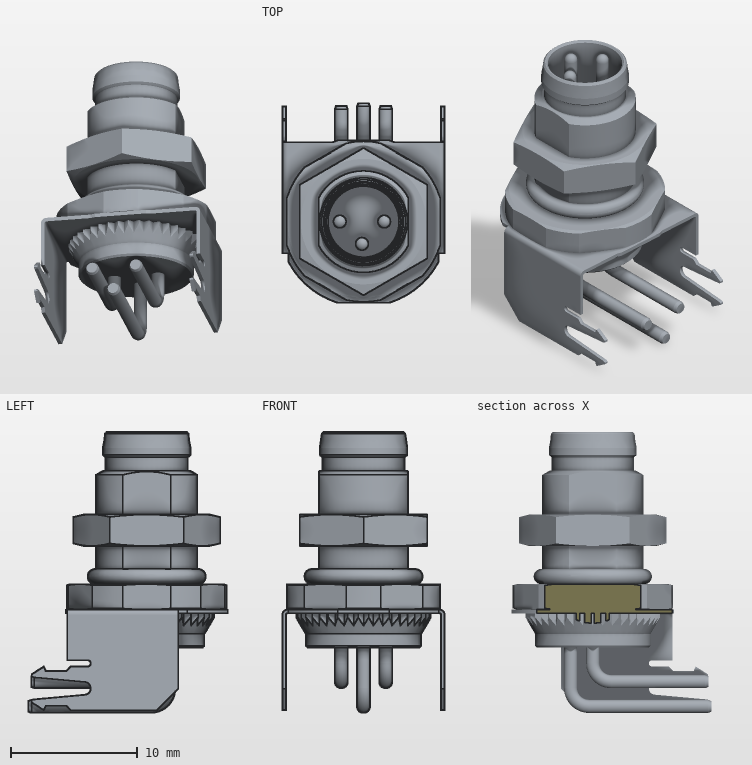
import cadquery as cq
import math


TOP_Z = 14.0
RIM_RADIUS = 3.15
RIM_TAPER_RADIUS = 3.3
COLLAR_RADIUS = 3.46
NECK_RADIUS = 3.25
THREAD_RADIUS = 4.0
RIM_CHAMFER_Z = TOP_Z - 0.15
COLLAR_TOP_Z = 12.75
COLLAR_BOTTOM_Z = 12.18
NECK_TOP_Z = 12.0
SHOULDER_TOP_Z = 10.95
SHOULDER_INNER_RADIUS = 3.4
SHOULDER_SLOPE = 30.0
BODY_FLAT_WIDTH = 7.05

BORE_RADIUS = 2.93
BORE_STEP_RADIUS = 2.8
BORE_STEP_Z = 8.0
BORE_FLOOR_Z = 7.0
BORE_LIP = 0.13

NUT_BOTTOM_Z = 5.0
NUT_HEIGHT = 2.5
NUT_ACROSS_FLATS = 10.05
NUT_CORNER_RADIUS = NUT_ACROSS_FLATS / math.sqrt(3)
NUT_FACE_RADIUS = 4.95
NUT_BEVEL_ANGLE = 14.0
FLANGE_HEIGHT = 2.0
FLANGE_ACROSS_FLATS = 12.06
FLANGE_RADIUS = 6.32
FLANGE_FACE_RADIUS = 6.0
FLANGE_BEVEL_ANGLE = 15.0

RING_SECTION_RADIUS = 0.6
RING_OUTER_RADIUS = 4.66

BASE_RADIUS = 4.55
BASE_BOTTOM_Z = -3.0
BASE_CHAMFER = 0.15
CONE_BOTTOM_Z = -1.92
CONE_HALF_ANGLE = 30.6
TOOTH_COUNT = 40
TOOTH_CREST_RADIUS = 5.32
TOOTH_VALLEY_RADIUS = 4.94

SHEET = 0.3
BRACKET_WIDTH = 12.8
BEND_RADIUS = 0.42
PLATE_RADIUS = 6.72
PLATE_HALF_DEPTH = 6.4
PLATE_TONGUE_WIDTH = 11.84
TAB_FRONT_Y = -2.5
TAB_BACK_Y = 6.27
TAB_BOTTOM_Z = -7.93
TAB_CORNER = 1.7
SLOT_TOP_Z = -4.0
SLOT_WIDTH = 0.49
SLOT_END_Y = 4.42

LEG_TIP_Y = 9.08
LEG_TIP_HALF_OUTER = 1.1
LEG_TIP_HALF_INNER = 0.95
LEG_NOSE_Y = 8.93
LEG_NOSE_HALF = 0.87
BARB_Y = 8.11
BARB_FOOT_Y = 7.96
LEG_NECK_DEPTH = 0.34
LEG_NECK_END_Y = 6.32
LEG_ROOT_Y = 6.0
GAP_ARC_Y = 4.85
GAP_ARC_HALF = 0.5

PIN_RADIUS = 0.52
PIN_PITCH = 3.5
PIN_CENTER_Y = -1.75
CONTACT_SHIFT_X = -0.12
CONTACT_RADIUS = 0.5
CONTACT_TOP_Z = 13.8
BEND_CENTERLINE_RADIUS = 1.45
OUTER_PIN_Z = -5.68
CENTER_PIN_Z = -7.63
OUTER_PIN_END_Y = 9.12
CENTER_PIN_END_Y = 9.35
PIN_TIP_LENGTH = 0.27
PIN_TIP_INSET = 0.1


def tan_deg(angle):
    return math.tan(math.radians(angle))


def revolve_outline(points):
    """Revolve an (r, z) outline about Z."""
    return cq.Workplane("XZ").polyline(points).close().revolve(360, (0, 0, 0), (0, 1, 0))


def cylinder(radius, bottom, top):
    return cq.Workplane("XY").workplane(offset=bottom).circle(radius).extrude(top - bottom)


def bevelled_hexagon(across_flats, bottom, height, face_radius, outer_radius, bevel_angle):
    """Hexagonal prism with flats facing +X and -X, bevelled at both ends."""
    corner_diameter = across_flats / math.cos(math.radians(30))
    top = bottom + height
    drop = (outer_radius - face_radius) * tan_deg(bevel_angle)
    prism = (
        cq.Workplane("XY")
        .workplane(offset=bottom)
        .transformed(rotate=(0, 0, 30))
        .polygon(6, corner_diameter)
        .extrude(height)
    )
    envelope = revolve_outline([
        (0, bottom),
        (face_radius, bottom),
        (outer_radius, bottom + drop),
        (outer_radius, top - drop),
        (face_radius, top),
        (0, top),
    ])
    return prism.intersect(envelope)


def make_threaded_body():
    """Cylinder with two flats and a sloping shoulder."""
    shoulder_drop = (THREAD_RADIUS - SHOULDER_INNER_RADIUS) * tan_deg(SHOULDER_SLOPE)
    body = revolve_outline([
        (0, 0),
        (THREAD_RADIUS, 0),
        (THREAD_RADIUS, SHOULDER_TOP_Z - shoulder_drop),
        (SHOULDER_INNER_RADIUS, SHOULDER_TOP_Z),
        (0, SHOULDER_TOP_Z),
    ])
    flats = cq.Workplane("XY").rect(BODY_FLAT_WIDTH, 2 * THREAD_RADIUS).extrude(TOP_Z)
    return body.intersect(flats)


def make_snap_collar():
    """Neck and tapered latching collar above the shoulder."""
    return revolve_outline([
        (0, BORE_FLOOR_Z),
        (NECK_RADIUS, BORE_FLOOR_Z),
        (NECK_RADIUS, NECK_TOP_Z),
        (COLLAR_RADIUS, COLLAR_BOTTOM_Z),
        (COLLAR_RADIUS, COLLAR_TOP_Z),
        (RIM_TAPER_RADIUS, RIM_CHAMFER_Z),
        (RIM_RADIUS, TOP_Z),
        (0, TOP_Z),
    ])


def make_bore():
    """Socket cavity with a chamfered mouth and a narrower step at the floor."""
    return revolve_outline([
        (0, BORE_FLOOR_Z),
        (BORE_STEP_RADIUS, BORE_FLOOR_Z),
        (BORE_STEP_RADIUS, BORE_STEP_Z),
        (BORE_RADIUS, BORE_STEP_Z),
        (BORE_RADIUS, TOP_Z - BORE_LIP),
        (BORE_RADIUS + BORE_LIP, TOP_Z),
        (0, TOP_Z),
    ])


def make_o_ring():
    center_radius = RING_OUTER_RADIUS - RING_SECTION_RADIUS
    return (
        cq.Workplane("XZ")
        .center(center_radius, FLANGE_HEIGHT + RING_SECTION_RADIUS)
        .circle(RING_SECTION_RADIUS)
        .revolve(360, (-center_radius, 0, 0), (-center_radius, 1, 0))
    )


def make_base():
    """Round base below the bracket, widening into the serrated cone."""
    base = cylinder(BASE_RADIUS, BASE_BOTTOM_Z, 0).faces("<Z").chamfer(BASE_CHAMFER)

    half_pitch = math.pi / TOOTH_COUNT
    outline = []
    for i in range(2 * TOOTH_COUNT):
        radius = TOOTH_CREST_RADIUS if i % 2 else TOOTH_VALLEY_RADIUS
        angle = -math.pi / 2 + i * half_pitch
        outline.append((radius * math.cos(angle), radius * math.sin(angle)))
    teeth = (
        cq.Workplane("XY")
        .workplane(offset=CONE_BOTTOM_Z)
        .polyline(outline)
        .close()
        .extrude(-CONE_BOTTOM_Z)
    )
    cone_top_radius = BASE_RADIUS - CONE_BOTTOM_Z * tan_deg(CONE_HALF_ANGLE)
    cone = revolve_outline([
        (0, CONE_BOTTOM_Z),
        (BASE_RADIUS, CONE_BOTTOM_Z),
        (cone_top_radius, 0),
        (0, 0),
    ])
    return base.union(teeth.intersect(cone))


def make_bracket_side_outline():
    """Side outline of the bracket in the YZ plane, with two snap-in legs."""
    slot_radius = SLOT_WIDTH / 2
    leg_top_z = SLOT_TOP_Z - SLOT_WIDTH
    middle_z = (leg_top_z + TAB_BOTTOM_Z) / 2
    half_height = leg_top_z - middle_z
    neck_half = half_height - LEG_NECK_DEPTH
    leg = [
        (LEG_ROOT_Y, half_height),
        (LEG_NECK_END_Y, neck_half),
        (BARB_FOOT_Y, neck_half),
        (BARB_Y, half_height),
        (LEG_TIP_Y, LEG_TIP_HALF_OUTER),
        (LEG_TIP_Y, LEG_TIP_HALF_INNER),
        (LEG_NOSE_Y, LEG_NOSE_HALF),
        (GAP_ARC_Y, GAP_ARC_HALF),
    ]
    outline = (
        cq.Workplane("YZ")
        .moveTo(TAB_FRONT_Y, 0)
        .lineTo(TAB_BACK_Y, 0)
        .lineTo(TAB_BACK_Y, SLOT_TOP_Z)
        .lineTo(SLOT_END_Y + slot_radius, SLOT_TOP_Z)
        .threePointArc(
            (SLOT_END_Y, SLOT_TOP_Z - slot_radius),
            (SLOT_END_Y + slot_radius, leg_top_z),
        )
    )
    for y, half in leg:
        outline = outline.lineTo(y, middle_z + half)
    outline = outline.threePointArc((SLOT_END_Y, middle_z), (GAP_ARC_Y, middle_z - GAP_ARC_HALF))
    for y, half in reversed(leg[:-1]):
        outline = outline.lineTo(y, middle_z - half)
    return (
        outline
        .lineTo(TAB_FRONT_Y + TAB_CORNER, TAB_BOTTOM_Z)
        .lineTo(TAB_FRONT_Y, TAB_BOTTOM_Z + TAB_CORNER)
        .close()
    )


def make_bracket():
    """Round plate with two side tabs bent down."""
    length = 4 * LEG_TIP_Y
    depth = -2 * TAB_BOTTOM_Z
    inner_width = BRACKET_WIDTH - 2 * SHEET
    outside = (
        cq.Workplane("XY")
        .box(BRACKET_WIDTH, length, depth)
        .edges("|Y and >Z")
        .fillet(BEND_RADIUS)
    )
    inside = (
        cq.Workplane("XY")
        .box(inner_width, length, depth)
        .edges("|Y and >Z")
        .fillet(BEND_RADIUS - SHEET)
        .translate((0, 0, -SHEET))
    )
    channel = outside.cut(inside).translate((0, 0, -depth / 2))
    side_block = make_bracket_side_outline().extrude(BRACKET_WIDTH / 2, both=True)

    tongue = cq.Workplane("XY").box(PLATE_TONGUE_WIDTH, 2 * PLATE_HALF_DEPTH, 2 * SHEET)
    plate = cylinder(PLATE_RADIUS, -SHEET, 0).intersect(tongue)
    return channel.intersect(side_block).union(plate)


def make_contact(x, y):
    """Straight contact with a domed end standing in the socket."""
    contact = cylinder(CONTACT_RADIUS, BORE_FLOOR_Z - CONTACT_RADIUS, CONTACT_TOP_Z - CONTACT_RADIUS)
    dome = cq.Workplane("XY").sphere(CONTACT_RADIUS).translate((0, 0, CONTACT_TOP_Z - CONTACT_RADIUS))
    return contact.union(dome).translate((x, y, 0))


def make_solder_pin(x, y, run_z, end_y):
    """Pin that leaves the base downward and bends toward +Y, ending in a taper."""
    bend_radius = BEND_CENTERLINE_RADIUS
    corner = bend_radius * (1 - math.sqrt(0.5))
    path = (
        cq.Workplane("YZ", origin=(x, 0, 0))
        .moveTo(y, BASE_BOTTOM_Z + PIN_RADIUS)
        .lineTo(y, run_z + bend_radius)
        .threePointArc((y + corner, run_z + corner), (y + bend_radius, run_z))
        .lineTo(end_y - PIN_TIP_LENGTH, run_z)
    )
    start = cq.Workplane("XY", origin=(x, y, BASE_BOTTOM_Z + PIN_RADIUS))
    pin = start.circle(PIN_RADIUS).sweep(path)
    tip = cq.Solid.makeCone(
        PIN_RADIUS,
        PIN_RADIUS - PIN_TIP_INSET,
        PIN_TIP_LENGTH,
        cq.Vector(x, end_y - PIN_TIP_LENGTH, run_z),
        cq.Vector(0, 1, 0),
    )
    return pin.union(cq.Workplane(tip))


nut = bevelled_hexagon(
    NUT_ACROSS_FLATS, NUT_BOTTOM_Z, NUT_HEIGHT, NUT_FACE_RADIUS, NUT_CORNER_RADIUS, NUT_BEVEL_ANGLE
)
flange = bevelled_hexagon(
    FLANGE_ACROSS_FLATS, 0, FLANGE_HEIGHT, FLANGE_FACE_RADIUS, FLANGE_RADIUS, FLANGE_BEVEL_ANGLE
)

result = make_threaded_body().union(make_snap_collar()).union(nut).union(flange)
result = result.union(make_o_ring()).union(make_bracket()).union(make_base())
result = result.cut(make_bore())

pin_places = [
    (-PIN_PITCH / 2, 0, OUTER_PIN_Z, OUTER_PIN_END_Y),
    (PIN_PITCH / 2, 0, OUTER_PIN_Z, OUTER_PIN_END_Y),
    (0, PIN_CENTER_Y, CENTER_PIN_Z, CENTER_PIN_END_Y),
]
for pin_x, pin_y, pin_run_z, pin_end_y in pin_places:
    result = result.union(make_contact(pin_x + CONTACT_SHIFT_X, pin_y))
    result = result.union(make_solder_pin(pin_x, pin_y, pin_run_z, pin_end_y))